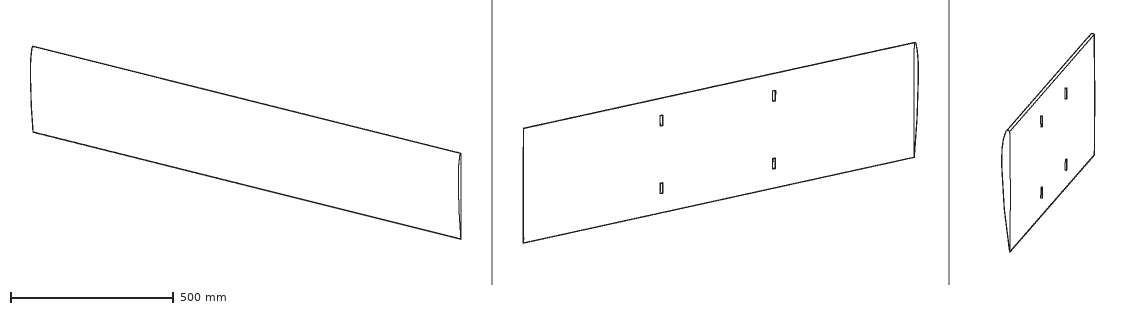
import cadquery as cq

span = 1397.0
thickness = 35.0
chord = 384.0
half_span = span / 2
bottom_z = -chord / 2

mid_front_y = -17.0
end_front_y = -15.0
mid_back_y = 14.0
end_back_y = 11.0

tail_back_y = 10.5
tail_thickness = 1.0
tail_front_y = tail_back_y - tail_thickness

front_full_z = 70.0
back_full_z = 98.0
back_shoulder_z = 189.0
nose_front_z = 187.0
shoulder_z = 170.0
taper_z = -85.0

back_shoulder_y = 10.0
nose_front_y = -3.0
shoulder_y = -8.0
taper_y = -4.9

pad_x = 201.0
pad_width = 8.0
pad_height = 34.0
pad_rows = (112.0, -113.0)
pad_face_y = thickness / 2
pad_root_y = 8.0


def wing_section(x, front_y, back_y):
    """Profile across the chord, reaching front_y and back_y at its fullest."""
    tail_back = (tail_back_y, bottom_z)
    back_shoulder = (back_shoulder_y, back_shoulder_z)
    front_points = [
        (tail_front_y, bottom_z),
        (taper_y, taper_z),
        (front_y, front_full_z),
        (shoulder_y, shoulder_z),
        (nose_front_y, nose_front_z),
    ]
    back_points = [(back_y, back_full_z), tail_back]
    return (
        cq.Workplane("YZ", origin=(x, 0, 0))
        .spline(front_points)
        .tangentArcPoint(back_shoulder, relative=False)
        .spline(back_points, includeCurrent=True)
        .close()
        .wires()
        .val()
    )


def wing():
    """Loft from end to end through the fuller mid-span section."""
    sections = [
        wing_section(-half_span, end_front_y, end_back_y),
        wing_section(0, mid_front_y, mid_back_y),
        wing_section(half_span, end_front_y, end_back_y),
    ]
    return cq.Workplane(cq.Solid.makeLoft(sections))


def back_pads():
    """Four narrow pads, rooted inside the wing and standing off its back."""
    positions = [(side * pad_x, z) for side in (-1, 1) for z in pad_rows]
    return (
        cq.Workplane("XZ", origin=(0, pad_root_y, 0))
        .pushPoints(positions)
        .rect(pad_width, pad_height)
        .extrude(pad_root_y - pad_face_y)
    )


result = wing().union(back_pads())